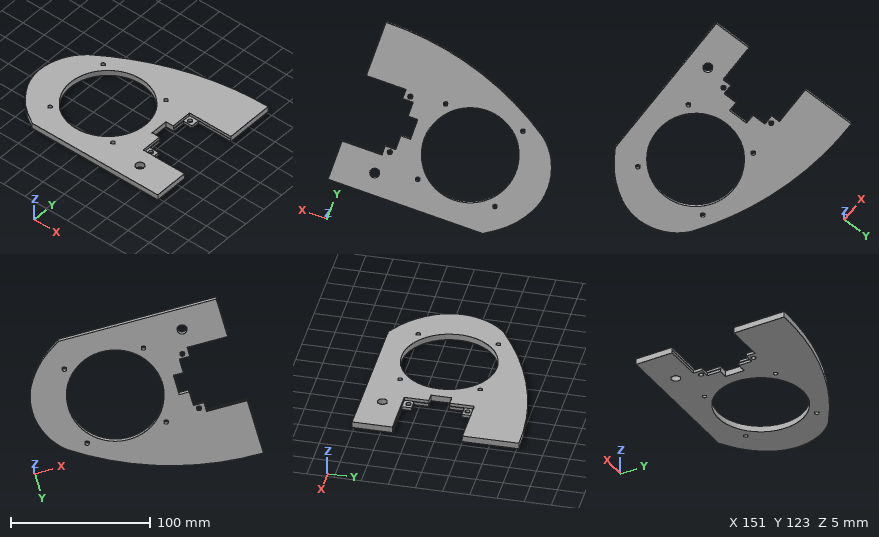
import cadquery as cq

length = 151.0
width = 123.0
thickness = 5.0
ledge_height = thickness / 2

lower_corner = (32.9, 0.0)
lower_left = (23.3, 6.3)
left_lower = (4.4, 28.5)
left_upper = (2.4, 61.5)
upper_left = (16.3, 81.8)
upper_right = (length, width)

lower_left_mid = (12.2, 16.6)
left_mid = (0.0, 46.8)
upper_left_mid = (8.0, 72.8)
long_edge_mid = (75.2, 111.3)

opening_center = (60.9, 51.3)
opening_diameter = 70.0
screw_spacing = 59.0
screw_diameter = 3.2

slot_center_y = 55.5
slot_width = 51.3
slot_back_x = 112.2
layer_step = 0.2
back_step = 0.6
notch_back_x = 105.3
notch_width = 15.3

tab_end_x = 120.7
tab_gap = 36.8
tab_hole_x = 116.0
tab_hole_spacing = 43.5
tab_hole_diameter = 3.5

side_hole_center = (121.0, 15.7)
side_hole_diameter = 7.0


def slot_cutter(back_x, opening_width, bottom, top):
    """Box reaching from back_x to the right edge, centred on the slot."""
    return (
        cq.Workplane("XY")
        .box(length - back_x, opening_width, top - bottom, centered=(False, True, False))
        .translate((back_x, slot_center_y, bottom))
    )


def hole_cutter(centers, diameter):
    return cq.Workplane("XY").pushPoints(centers).circle(diameter / 2).extrude(thickness)


plate = (
    cq.Workplane("XY")
    .moveTo(*lower_corner)
    .lineTo(length, 0)
    .lineTo(*upper_right)
    .threePointArc(long_edge_mid, upper_left)
    .threePointArc(upper_left_mid, left_upper)
    .threePointArc(left_mid, left_lower)
    .threePointArc(lower_left_mid, lower_left)
    .close()
    .extrude(thickness)
)

lower_slot_width = slot_width - 2 * layer_step
plate = plate.cut(slot_cutter(slot_back_x, slot_width, ledge_height, thickness))
plate = plate.cut(slot_cutter(slot_back_x + back_step, tab_gap, 0, ledge_height))
plate = plate.cut(slot_cutter(tab_end_x, lower_slot_width, 0, ledge_height))
plate = plate.cut(slot_cutter(notch_back_x, notch_width, 0, thickness))

half_spacing = screw_spacing / 2
screw_centers = [
    (opening_center[0] + x_side * half_spacing, opening_center[1] + y_side * half_spacing)
    for x_side in (-1, 1)
    for y_side in (-1, 1)
]
tab_hole_centers = [
    (tab_hole_x, slot_center_y + side * tab_hole_spacing / 2) for side in (-1, 1)
]
plate = plate.cut(hole_cutter([opening_center], opening_diameter))
plate = plate.cut(hole_cutter(screw_centers, screw_diameter))
plate = plate.cut(hole_cutter(tab_hole_centers, tab_hole_diameter))
plate = plate.cut(hole_cutter([side_hole_center], side_hole_diameter))

result = plate